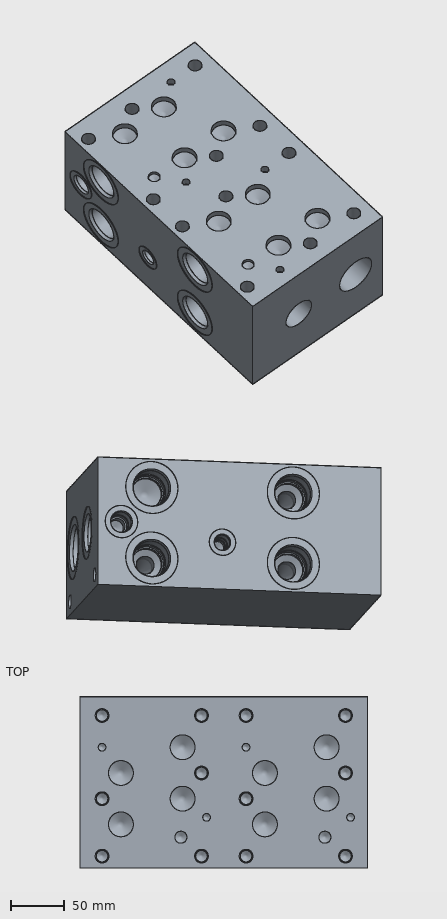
import cadquery as cq
import math

LENGTH = 266.7
WIDTH = 158.75
HEIGHT = 120.65

DRILL_POINT_ANGLE = 118.0
SEAT_ANGLE = 15.0

STATION_PITCH = 133.35
STATION_COUNT = 2
PATTERN_X = 20.64
PATTERN_Y = 11.11

PATTERN_ACROSS = 92.1
PATTERN_ALONG = 130.2
NEAR_ROW = 17.5
FAR_ROW = 74.6
BOLT_SPOTS = [
    (0, 0),
    (0, 53.2),
    (0, PATTERN_ALONG),
    (PATTERN_ACROSS, 0),
    (PATTERN_ACROSS, 77.0),
    (PATTERN_ACROSS, PATTERN_ALONG),
]
FLOW_SPOTS = [(NEAR_ROW, 29.4), (NEAR_ROW, 77.0), (FAR_ROW, 53.2), (FAR_ROW, 100.8)]
PIN_SPOTS = [(0, 100.8), (96.8, 35.9)]
PILOT_SPOTS = [(73.0, 17.5)]

FLOW_DIAMETER = 23.01
FLOW_DEPTH = 6.35
PIN_DIAMETER = 7.14
PIN_DEPTH = 8.0
PILOT_DIAMETER = 11.12
PILOT_DEPTH = 3.0

BOLT_THREAD = 12.7
BOLT_THREAD_DEPTH = 25.4
BOLT_DRILL = 10.72
BOLT_DEPTH = 32.0

MOUNT_SPOTS = [(17.46, 12.7), (141.29, 12.7)]

SPOTFACE_DEPTH = 0.8
PORT_BORE_LENGTH = 6.0
PORT_6 = dict(spotface=24.9, mouth=15.62, seat=14.53, thread=14.28, bore=12.9, thread_length=12.7)
PORT_8 = dict(spotface=30.6, mouth=20.6, seat=19.25, thread=19.05, bore=17.5, thread_length=14.3)
PORT_16 = dict(spotface=49.1, mouth=35.51, seat=33.76, thread=33.34, bore=31.27, thread_length=19.05)
PORT_20 = dict(spotface=58.5, mouth=43.45, seat=41.7, thread=41.27, bore=39.2, thread_length=19.05)

WORK_X = 50.8
LOWER_WORK_Z = 26.99
UPPER_WORK_Z = HEIGHT - LOWER_WORK_Z
WORK_DRILL = 28.57
WORK_DRILL_DEPTH = 30.0

PASSAGE_DIAMETER = 16.67
PASSAGE_DEPTH = 45.0
PASSAGE_POINT_ANGLE = 30.0

DRAIN_X = 22.23
DRAIN_Z = HEIGHT / 2
DRAIN_DRILL = 14.3
DRAIN_DEPTH = 30.0
GAUGE_X = 117.4
GAUGE_Z = 44.45
GAUGE_DRILL = 11.11
GAUGE_DEPTH = 25.0

TANK_Y = 125.86
PRESSURE_Y = 56.4
GALLERY_Z = HEIGHT / 2


def cutter(profile):
    """Solid of revolution going down from the origin; profile holds (diameter, depth) pairs to the axis."""
    outline = [(0, 0)] + [(diameter / 2, -depth) for diameter, depth in profile]
    return cq.Workplane("XZ").polyline(outline).close().revolve(360, (0, 0, 0), (0, 1, 0))


def drill_end(diameter, depth, point_angle=DRILL_POINT_ANGLE):
    """End of a drilled hole: its full diameter down to depth, then the conical point."""
    point_length = diameter / 2 / math.tan(math.radians(point_angle / 2))
    return [(diameter, depth), (0, depth + point_length)]


def drilled_hole(diameter, depth, point_angle=DRILL_POINT_ANGLE):
    return cutter([(diameter, 0)] + drill_end(diameter, depth, point_angle))


def tapped_hole():
    thread = [(BOLT_THREAD, 0), (BOLT_THREAD, BOLT_THREAD_DEPTH), (BOLT_DRILL, BOLT_THREAD_DEPTH)]
    return cutter(thread + drill_end(BOLT_DRILL, BOLT_DEPTH))


def thread_end(port):
    return SPOTFACE_DEPTH + port["thread_length"]


def port_profile(port):
    """Spotface, tapered seat and thread, ending where the bore starts."""
    seat_length = (port["mouth"] - port["seat"]) / 2 / math.tan(math.radians(SEAT_ANGLE))
    seat_end = SPOTFACE_DEPTH + seat_length
    return [
        (port["spotface"], 0),
        (port["spotface"], SPOTFACE_DEPTH),
        (port["mouth"], SPOTFACE_DEPTH),
        (port["seat"], seat_end),
        (port["thread"], seat_end),
        (port["thread"], thread_end(port)),
        (port["bore"], thread_end(port)),
    ]


def blind_port(port, drill, depth):
    bore_end = thread_end(port) + PORT_BORE_LENGTH
    bore = [(port["bore"], bore_end), (drill, bore_end)]
    return cutter(port_profile(port) + bore + drill_end(drill, depth))


def through_port(port):
    return cutter(port_profile(port) + [(port["bore"], LENGTH), (0, LENGTH)])


def into_top(tool, x, y):
    return tool.translate((x, y, HEIGHT))


def into_front(tool, x, z):
    return tool.rotate((0, 0, 0), (1, 0, 0), 90).translate((x, 0, z))


def into_left_end(tool, y, z):
    return tool.rotate((0, 0, 0), (0, 1, 0), -90).translate((0, y, z))


def station_cutters(station):
    """Top face pattern of one valve station."""
    corner_x = PATTERN_X + station * STATION_PITCH
    hole_groups = [
        (tapped_hole(), BOLT_SPOTS),
        (drilled_hole(FLOW_DIAMETER, FLOW_DEPTH), FLOW_SPOTS),
        (drilled_hole(PIN_DIAMETER, PIN_DEPTH), PIN_SPOTS),
        (drilled_hole(PILOT_DIAMETER, PILOT_DEPTH), PILOT_SPOTS),
    ]
    return [
        into_top(tool, corner_x + across, PATTERN_Y + along)
        for tool, spots in hole_groups
        for across, along in spots
    ]


def work_port_cutters(station):
    """Lower and upper work ports of one valve station, with their inner passages."""
    x = WORK_X + station * STATION_PITCH
    port = blind_port(PORT_16, WORK_DRILL, WORK_DRILL_DEPTH)
    passage = drilled_hole(PASSAGE_DIAMETER, PASSAGE_DEPTH, PASSAGE_POINT_ANGLE)
    cutters = [into_front(port, x, z) for z in (LOWER_WORK_Z, UPPER_WORK_Z)]
    cutters.append(into_front(passage, x, LOWER_WORK_Z))
    if station > 0:
        cutters.append(into_front(passage, x, UPPER_WORK_Z))
    return cutters


def drain_and_gauge_cutters():
    return [
        into_front(blind_port(PORT_8, DRAIN_DRILL, DRAIN_DEPTH), DRAIN_X, DRAIN_Z),
        into_front(blind_port(PORT_6, GAUGE_DRILL, GAUGE_DEPTH), GAUGE_X, GAUGE_Z),
    ]


def left_end_cutters():
    """Tank and pressure galleries and the two mounting holes."""
    galleries = [
        into_left_end(through_port(PORT_20), TANK_Y, GALLERY_Z),
        into_left_end(through_port(PORT_16), PRESSURE_Y, GALLERY_Z),
    ]
    return galleries + [into_left_end(tapped_hole(), y, z) for y, z in MOUNT_SPOTS]


cutters = drain_and_gauge_cutters() + left_end_cutters()
for station in range(STATION_COUNT):
    cutters += station_cutters(station) + work_port_cutters(station)

result = cq.Workplane("XY").box(LENGTH, WIDTH, HEIGHT, centered=False)
for tool in cutters:
    result = result.cut(tool)